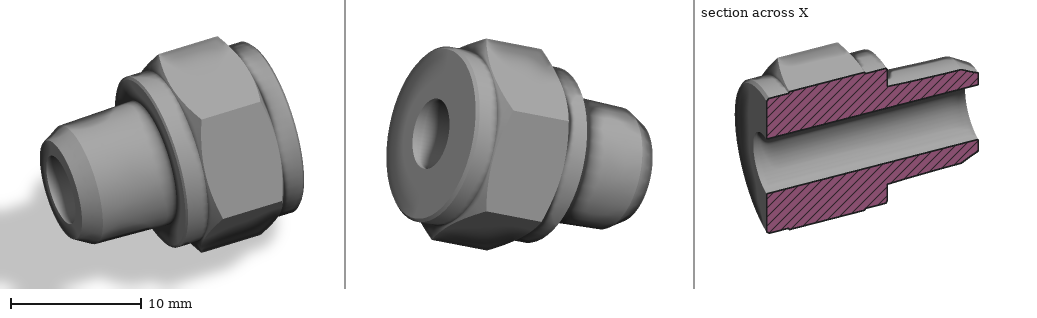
import cadquery as cq
import math

total_length = 17.5
across_flats = 14.0
bore_diameter = 5.5

nut_length = 10.0
collar_length = 1.8
collar_diameter = 13.7
rear_chamfer = 0.23
front_chamfer_radial = 0.21
front_chamfer_axial = 0.12
hex_chamfer_angle = math.radians(30)

root_diameter = 9.94
taper_end_diameter = 9.52
tip_diameter = 7.95
tip_chamfer_length = 1.4

spigot_length = total_length - nut_length
hex_front = spigot_length + collar_length
hex_rear = total_length - collar_length
hex_length = hex_rear - hex_front
collar_radius = collar_diameter / 2
across_corners = across_flats / math.cos(math.pi / 6)
corner_radius = across_corners / 2
hex_chamfer_length = (corner_radius - collar_radius) * math.tan(hex_chamfer_angle)


def revolved(profile):
    """Revolve (radius, distance from tip) points around the Y axis."""
    return cq.Workplane("XY").polyline(profile).close().revolve(360, (0, 0, 0), (0, 1, 0))


def make_body():
    """Round spigot and collars as one turned body."""
    return revolved([
        (0, 0),
        (tip_diameter / 2, 0),
        (taper_end_diameter / 2, tip_chamfer_length),
        (root_diameter / 2, spigot_length),
        (collar_radius - front_chamfer_radial, spigot_length),
        (collar_radius, spigot_length + front_chamfer_axial),
        (collar_radius, total_length - rear_chamfer),
        (collar_radius - rear_chamfer, total_length),
        (0, total_length),
    ])


def make_hexagon():
    """Hexagon with corners on X, its corners turned off by a cone at each end."""
    prism = (
        cq.Workplane("XZ", origin=(0, hex_front, 0))
        .polygon(6, across_corners)
        .extrude(-hex_length)
    )
    corner_envelope = revolved([
        (0, hex_front),
        (collar_radius, hex_front),
        (corner_radius, hex_front + hex_chamfer_length),
        (corner_radius, hex_rear - hex_chamfer_length),
        (collar_radius, hex_rear),
        (0, hex_rear),
    ])
    return prism.intersect(corner_envelope)


bore = cq.Workplane("XZ").circle(bore_diameter / 2).extrude(-total_length)

result = make_body().union(make_hexagon()).cut(bore)